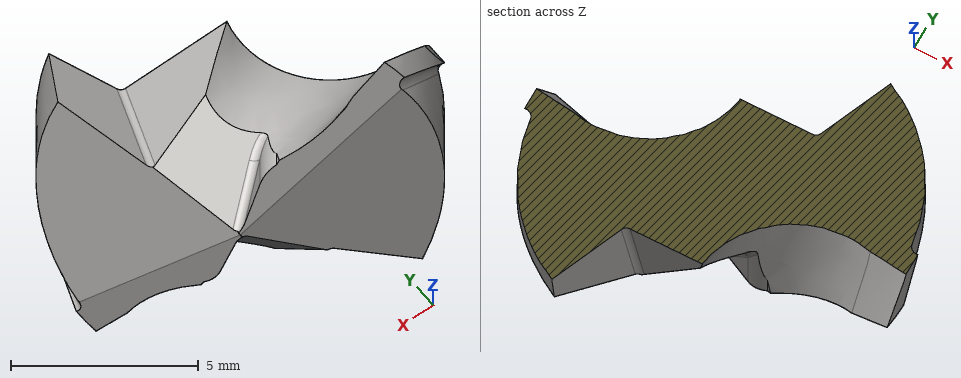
import math

import cadquery as cq


margin_radius = 5.7
land_radius = 5.44
tip_depth = 6.08
helix_angle = 30.0
blank_overlength = 0.4
blank_depth = tip_depth + blank_overlength
clearance = 8.0

flute_radius = 2.96
flute_center = (4.36, -1.72)
cutting_corner_angle = 14.3
margin_end_angle = 21.3
land_start_angle = 24.3
step_middle_angle = 22.4
step_middle_radius = 5.48

core_half_width = 2.52
heel_corner_x = 2.05
heel_slope = 0.38
heel_lean = 0.192
core_lean = math.tan(math.radians(1.0))
notch_fillet = 0.2

point_angle = 140.0
point_slope = 1 / math.tan(math.radians(point_angle / 2))
primary_relief = math.tan(math.radians(7.0))
secondary_relief = 0.387

gash_face_angle = -31.0
gash_edge_length = 1.45
gash_bend_radius = 0.9
gash_bend_turn = 43.0
gash_exit_angle = -20.0
gash_exit_length = 4.0
gash_floor_x_slope = 1.03
gash_floor_y_slope = -0.98
gash_fillet = 0.27

taper_start_x = 5.29
taper_slope = 0.3

pin_radius = 0.98
pin_height = 0.86
pin_chamfer = 0.16
pin_base_fillet = 0.15


def polar(radius, angle):
    """Point at a radius and an angle in degrees."""
    turn = math.radians(angle)
    return (radius * math.cos(turn), radius * math.sin(turn))


def half_turn(point):
    """The matching point on the opposite half."""
    return (-point[0], -point[1])


def shift(point, offset):
    """A point moved by an offset."""
    return (point[0] + offset[0], point[1] + offset[1])


def both_halves(tool):
    """A tool together with its copy on the opposite half."""
    return [tool, tool.rotate((0, 0, 0), (0, 0, 1), 180)]


def oblique_prism(profile, direction):
    """Prism from a closed profile, swept straight along a leaning direction."""
    return cq.Workplane(cq.Solid.extrudeLinear(profile.val(), [], cq.Vector(*direction)))


def flute_exit():
    """Where the flute circle leaves the land, on the side away from the cutting edge."""
    distance = math.hypot(*flute_center)
    heading = math.degrees(math.atan2(flute_center[1], flute_center[0]))
    cosine = (distance**2 + land_radius**2 - flute_radius**2) / (2 * distance * land_radius)
    return polar(land_radius, heading - math.degrees(math.acos(cosine)))


def make_twisted_body():
    """Helical blank with both flutes, margins and lands."""
    flute_deepest = shift(flute_center, (-flute_radius, 0))
    flute_top = shift(flute_center, (0, flute_radius))
    cutting_corner = polar(margin_radius, cutting_corner_angle)
    margin_middle = polar(margin_radius, (cutting_corner_angle + margin_end_angle) / 2)
    margin_end = polar(margin_radius, margin_end_angle)
    step_middle = polar(step_middle_radius, step_middle_angle)
    land_start = polar(land_radius, land_start_angle)
    land_end = half_turn(flute_exit())
    land_end_angle = math.degrees(math.atan2(land_end[1], land_end[0]))
    land_middle = polar(land_radius, (land_start_angle + land_end_angle) / 2)

    section = cq.Workplane("XY").moveTo(*flute_exit())
    for place in (lambda point: point, half_turn):
        section = (
            section.threePointArc(place(flute_deepest), place(flute_top))
            .lineTo(*place(cutting_corner))
            .threePointArc(place(margin_middle), place(margin_end))
            .threePointArc(place(step_middle), place(land_start))
            .threePointArc(place(land_middle), place(land_end))
        )
    twist = math.degrees(blank_depth * math.tan(math.radians(helix_angle)) / margin_radius)
    blank = section.close().twistExtrude(blank_depth, twist)
    return blank.rotate((0, 0, 0), (0, 0, 1), -twist).translate((0, 0, -blank_depth))


def make_heel_notch():
    """Space between the flat side of the core and the leaning heel face."""
    reach = clearance - core_half_width
    profile = (
        cq.Workplane("XY")
        .polyline(
            [
                (-clearance, core_half_width),
                (heel_corner_x, core_half_width),
                (heel_corner_x + heel_slope * reach, clearance),
                (-clearance, clearance),
            ]
        )
        .close()
    )
    corner_lean = heel_lean + heel_slope * core_lean
    notch = oblique_prism(profile, (-corner_lean * clearance, -core_lean * clearance, -clearance))
    corner = cq.selectors.NearestToPointSelector(
        (
            heel_corner_x - corner_lean * clearance / 2,
            core_half_width - core_lean * clearance / 2,
            -clearance / 2,
        )
    )
    return notch.edges(corner).fillet(notch_fillet)


def make_point_relief():
    """Material ground away below the primary and secondary relief faces."""
    profile = (
        cq.Workplane("YZ")
        .polyline(
            [
                (-clearance, -tip_depth - primary_relief * clearance),
                (0, -tip_depth),
                (clearance, -tip_depth + secondary_relief * clearance),
                (clearance, -tip_depth - clearance),
                (-clearance, -tip_depth - clearance),
            ]
        )
        .close()
    )
    return oblique_prism(profile, (clearance, 0, point_slope * clearance))


def make_gash():
    """Gash that thins the web: upright rake face, sloping floor and rounded valley."""
    back = polar(-clearance, gash_face_angle)
    edge_end = polar(gash_edge_length, gash_face_angle)
    bend_center = shift(edge_end, polar(gash_bend_radius, gash_face_angle + 90))
    bend_start_angle = gash_face_angle - 90
    bend_middle = shift(bend_center, polar(gash_bend_radius, bend_start_angle + gash_bend_turn / 2))
    bend_end = shift(bend_center, polar(gash_bend_radius, bend_start_angle + gash_bend_turn))
    exit_point = shift(bend_end, polar(gash_exit_length, gash_exit_angle))
    upright = (
        cq.Workplane("XY", origin=(0, 0, -tip_depth - clearance))
        .moveTo(*back)
        .lineTo(*edge_end)
        .threePointArc(bend_middle, bend_end)
        .lineTo(*exit_point)
        .lineTo(exit_point[0], -clearance)
        .lineTo(back[0], -clearance)
        .close()
        .extrude(2 * clearance)
    )
    floor_plane = cq.Plane(
        origin=(0, 0, -tip_depth),
        xDir=(1, 0, gash_floor_x_slope),
        normal=(-gash_floor_x_slope, -gash_floor_y_slope, 1),
    )
    floor_size = 8 * clearance
    above_floor = cq.Workplane(floor_plane).rect(floor_size, floor_size).extrude(floor_size)
    gash = upright.cut(above_floor)
    valley_point = polar(gash_edge_length / 2, gash_face_angle)
    valley_rise = gash_floor_x_slope * valley_point[0] + gash_floor_y_slope * valley_point[1]
    valley = cq.selectors.NearestToPointSelector((*valley_point, valley_rise - tip_depth))
    return gash.edges(valley).fillet(gash_fillet)


def make_margin_taper():
    """Wedge that slopes the margin inwards towards the seat face."""
    return (
        cq.Workplane("XZ")
        .polyline(
            [
                (taper_start_x, 0),
                (clearance, 0),
                (clearance, (taper_start_x - clearance) / taper_slope),
            ]
        )
        .close()
        .extrude(clearance / 2, both=True)
    )


def make_pin():
    """Chamfered centring pin with a rounded foot, standing on the seat face."""
    foot_radius = pin_radius + pin_base_fillet
    return (
        cq.Workplane("XZ")
        .lineTo(foot_radius, 0)
        .radiusArc((pin_radius, pin_base_fillet), pin_base_fillet)
        .lineTo(pin_radius, pin_height - pin_chamfer)
        .lineTo(pin_radius - pin_chamfer, pin_height)
        .lineTo(0, pin_height)
        .close()
        .revolve(360, (0, 0, 0), (0, 1, 0))
    )


body = make_twisted_body()
for make_tool in (make_heel_notch, make_point_relief, make_margin_taper, make_gash):
    for tool in both_halves(make_tool()):
        body = body.cut(tool)

result = body.union(make_pin())